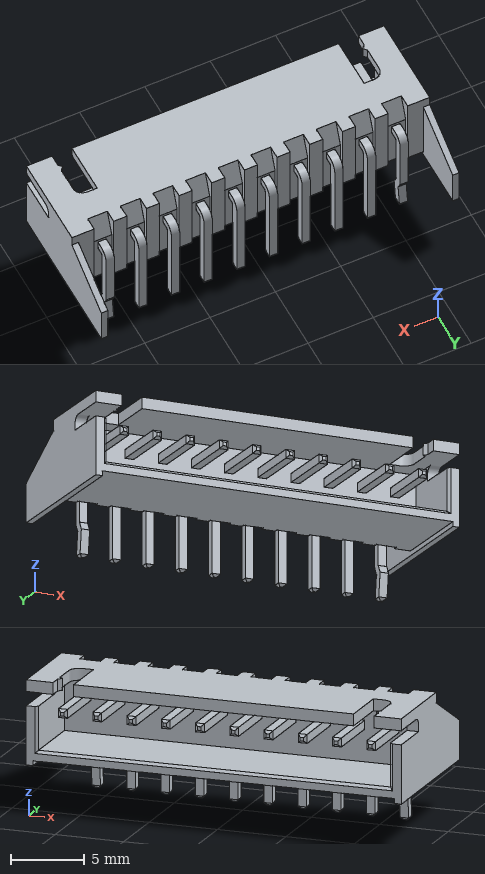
import cadquery as cq

LENGTH = 27.4
HEIGHT = 6.1
BODY_DEPTH = 7.0
WING_DEPTH = 11.5
WING_THICKNESS = 0.5
WING_TOP = 5.3
WING_REAR_HEIGHT = 2.87
FLOOR_LIFT = 0.35

CAVITY_DEPTH = 5.3
CAVITY_FLOOR = 1.1
ROOF_THICKNESS = 0.85
SIDE_WALL = 0.85
MOUTH_FLARE = 0.2

SIDE_SLOT_DEPTH = 3.4
SIDE_SLOT_HEIGHT = 1.0
SIDE_SLOT_RADIUS = 0.5

ROOF_SLOT_OFFSET = 1.98
ROOF_SLOT_WIDTH = 1.5
ROOF_SLOT_DEPTH = 3.9
ROOF_SLOT_RADIUS = 0.75
BUMP_Y = 1.15
BUMP_SIZE = 0.25

NOTCH_WIDTH = 1.5
NOTCH_SLANT_TOP_Y = 6.02
NOTCH_FACE_Y = 6.7
NOTCH_SLANT_BOTTOM_Z = 4.28

PIN_COUNT = 10
PIN_PITCH = 2.5
PIN_SIZE = 0.64
PIN_AXIS_Z = 3.75
PIN_FRONT_Y = 0.5
PIN_REAR_Y = 7.98
PIN_BOTTOM_Z = -3.4
PIN_BEND_RADIUS = 0.78
PIN_TIP_LENGTH = 0.2
PIN_TIP_SIZE = 0.26

KINK_START_Z = -0.9
KINK_PEAK_Z = -1.48
KINK_PEAK_SHIFT = 0.31
KINK_END_SHIFT = 0.1

ROOF_BOTTOM = HEIGHT - ROOF_THICKNESS
OUTER_X = LENGTH / 2


def box(x_range, y_range, z_range):
    """Axis-aligned box from three (low, high) ranges."""
    size = [high - low for low, high in (x_range, y_range, z_range)]
    corner = (x_range[0], y_range[0], z_range[0])
    return cq.Workplane("XY").box(*size, centered=False).translate(corner)


def make_side_wall(x_low):
    """Side wall that continues behind the housing as a sloping wing."""
    profile = [
        (0, 0),
        (WING_DEPTH, 0),
        (WING_DEPTH, WING_REAR_HEIGHT),
        (BODY_DEPTH, WING_TOP),
        (BODY_DEPTH, HEIGHT),
        (0, HEIGHT),
    ]
    return cq.Workplane("YZ", origin=(x_low, 0, 0)).polyline(profile).close().extrude(WING_THICKNESS)


def make_cavity():
    """Mating cavity with a mouth flared at 45 degrees along its floor and sides."""
    half_width = OUTER_X - SIDE_WALL
    cavity = box((-half_width, half_width), (0, CAVITY_DEPTH), (CAVITY_FLOOR, ROOF_BOTTOM))
    mouth_half_width = half_width + MOUTH_FLARE
    mouth_floor = CAVITY_FLOOR - MOUTH_FLARE
    mouth_centre_z = (mouth_floor + ROOF_BOTTOM) / 2
    inner_centre_z = (CAVITY_FLOOR + ROOF_BOTTOM) / 2
    flare = (
        cq.Workplane("XZ")
        .center(0, mouth_centre_z)
        .rect(2 * mouth_half_width, ROOF_BOTTOM - mouth_floor)
        .workplane(offset=-MOUTH_FLARE)
        .center(0, inner_centre_z - mouth_centre_z)
        .rect(2 * half_width, ROOF_BOTTOM - CAVITY_FLOOR)
        .loft(ruled=True)
    )
    return cavity.union(flare)


def make_side_slot():
    """Slot across the full length, rounded at its upper inner corner."""
    slot_bottom = ROOF_BOTTOM - SIDE_SLOT_HEIGHT
    slot = box((-OUTER_X, OUTER_X), (0, SIDE_SLOT_DEPTH), (slot_bottom, ROOF_BOTTOM))
    return slot.edges("|X and >Y and >Z").fillet(SIDE_SLOT_RADIUS)


def make_left_roof_slot():
    """Roof slot near the -X end, rounded at its outer inner corner and notched by the bump."""
    outer = ROOF_SLOT_OFFSET - OUTER_X
    inner = outer + ROOF_SLOT_WIDTH
    slot = box((outer, inner), (0, ROOF_SLOT_DEPTH), (ROOF_BOTTOM, HEIGHT))
    slot = slot.edges("|Z and <X and >Y").fillet(ROOF_SLOT_RADIUS)
    bump = (
        cq.Workplane("XY", origin=(0, 0, ROOF_BOTTOM))
        .moveTo(outer, BUMP_Y - BUMP_SIZE)
        .lineTo(outer + BUMP_SIZE, BUMP_Y)
        .lineTo(outer, BUMP_Y + BUMP_SIZE)
        .close()
        .extrude(ROOF_THICKNESS)
    )
    return slot.cut(bump)


def make_rear_notch(x):
    """Full-height notch at one pin, widened above the pin by a slanted face."""
    profile = [
        (NOTCH_FACE_Y, 0),
        (BODY_DEPTH, 0),
        (BODY_DEPTH, HEIGHT),
        (NOTCH_SLANT_TOP_Y, HEIGHT),
        (NOTCH_FACE_Y, NOTCH_SLANT_BOTTOM_Z),
    ]
    return (
        cq.Workplane("YZ", origin=(x - NOTCH_WIDTH / 2, 0, 0))
        .polyline(profile)
        .close()
        .extrude(NOTCH_WIDTH)
    )


def make_housing(pin_positions):
    body = box((-OUTER_X, OUTER_X), (0, BODY_DEPTH), (FLOOR_LIFT, HEIGHT))
    body = body.union(make_side_wall(-OUTER_X)).union(make_side_wall(OUTER_X - WING_THICKNESS))
    left_slot = make_left_roof_slot()
    body = body.cut(make_cavity()).cut(make_side_slot())
    body = body.cut(left_slot).cut(left_slot.mirror("YZ"))
    for x in pin_positions:
        body = body.cut(make_rear_notch(x))
    return body


def make_tip(base, direction):
    """Tapered pin end growing from the base point along the direction."""
    return (
        cq.Workplane(cq.Plane(base, (1, 0, 0), direction))
        .rect(PIN_SIZE, PIN_SIZE)
        .workplane(offset=PIN_TIP_LENGTH)
        .rect(PIN_TIP_SIZE, PIN_TIP_SIZE)
        .loft(ruled=True)
    )


def make_pin(x, kinked):
    """Pin that runs back from the cavity and bends down; a kinked tail bows towards -Y."""
    shank_front = PIN_FRONT_Y + PIN_TIP_LENGTH
    shank_bottom = PIN_BOTTOM_Z + PIN_TIP_LENGTH
    top = PIN_AXIS_Z + PIN_SIZE / 2
    underside = PIN_AXIS_Z - PIN_SIZE / 2
    tail_front = PIN_REAR_Y - PIN_SIZE
    inner_radius = PIN_BEND_RADIUS - PIN_SIZE
    bend_y = PIN_REAR_Y - PIN_BEND_RADIUS
    bend_z = top - PIN_BEND_RADIUS
    end_shift = KINK_END_SHIFT if kinked else 0

    profile = cq.Workplane("YZ", origin=(x - PIN_SIZE / 2, 0, 0)).moveTo(shank_front, top)
    profile = profile.lineTo(bend_y, top).radiusArc((PIN_REAR_Y, bend_z), PIN_BEND_RADIUS)
    if kinked:
        profile = profile.lineTo(PIN_REAR_Y, KINK_START_Z)
        profile = profile.lineTo(PIN_REAR_Y - KINK_PEAK_SHIFT, KINK_PEAK_Z)
    profile = profile.lineTo(PIN_REAR_Y - end_shift, shank_bottom)
    profile = profile.lineTo(tail_front - end_shift, shank_bottom)
    if kinked:
        profile = profile.lineTo(tail_front - KINK_PEAK_SHIFT, KINK_PEAK_Z)
        profile = profile.lineTo(tail_front, KINK_START_Z)
    profile = profile.lineTo(tail_front, bend_z).radiusArc((bend_y, underside), -inner_radius)
    shank = profile.lineTo(shank_front, underside).close().extrude(PIN_SIZE)

    tail_centre = PIN_REAR_Y - PIN_SIZE / 2 - end_shift
    front_tip = make_tip((x, shank_front, PIN_AXIS_Z), (0, -1, 0))
    tail_tip = make_tip((x, tail_centre, shank_bottom), (0, 0, -1))
    return shank.union(front_tip).union(tail_tip)


pin_positions = [(i - (PIN_COUNT - 1) / 2) * PIN_PITCH for i in range(PIN_COUNT)]
end_positions = (pin_positions[0], pin_positions[-1])

result = make_housing(pin_positions)
for pin_x in pin_positions:
    result = result.union(make_pin(pin_x, pin_x in end_positions))